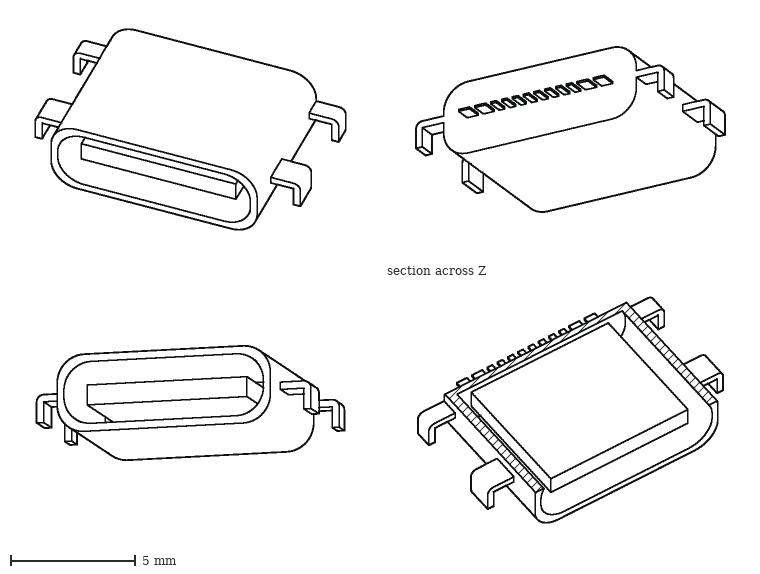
import cadquery as cq

shell_width = 8.9
shell_height = 3.16
shell_length = 6.49
shell_corner_radius = 1.13

cavity_width = 8.33
cavity_height = 2.53
cavity_corner_radius = 1.13
rear_wall = 0.3
cavity_depth = shell_length - rear_wall

tongue_width = 6.67
tongue_height = 0.81
tongue_recess = 0.5

tab_span = 11.46
tab_thickness = 0.3
tab_top = 0.31
tab_bottom = -0.84
tab_bend_radius = tab_thickness
front_tab_start = 1.5
front_tab_length = 1.2
rear_tab_length = 0.79
rear_tab_start = shell_length - rear_tab_length

pin_length = 0.71
pin_thickness = 0.08
pin_center_height = 0.02
narrow_pin_width = 0.25
narrow_pin_pitch = 0.5
narrow_pin_count = 8
wide_pin_width = 0.5
wide_pin_offsets = (2.36, 3.1)


def block_along_y(width, height, start, length):
    """Box centred on X and Z that runs back from Y = start."""
    return cq.Workplane("XY").box(width, length, height).translate((0, start + length / 2, 0))


def rounded_block(width, height, corner_radius, length):
    """Block from Y = 0 backwards with its four long edges rounded."""
    return block_along_y(width, height, 0, length).edges("|Y").fillet(corner_radius)


def make_shell():
    outside = rounded_block(shell_width, shell_height, shell_corner_radius, shell_length)
    cavity = rounded_block(cavity_width, cavity_height, cavity_corner_radius, cavity_depth)
    return outside.cut(cavity)


def make_tongue():
    return block_along_y(tongue_width, tongue_height, tongue_recess, shell_length - tongue_recess)


def make_tab(start, length):
    """Right-hand tab: an arm out from the shell side, bent down into a leg."""
    root = shell_width / 2
    tip = tab_span / 2
    arm_underside = tab_top - tab_thickness
    leg_inside = tip - tab_thickness
    profile = [
        (root, tab_top),
        (tip, tab_top),
        (tip, tab_bottom),
        (leg_inside, tab_bottom),
        (leg_inside, arm_underside),
        (root, arm_underside),
    ]
    tab = cq.Workplane("XZ").polyline(profile).close().extrude(-length)
    tab = tab.edges("|Y and >X and >Z").fillet(tab_bend_radius)
    return tab.translate((0, start, 0))


def make_pin(center_x, width):
    pin = block_along_y(width, pin_thickness, shell_length, pin_length)
    return pin.translate((center_x, 0, pin_center_height))


result = make_shell().union(make_tongue())

for start, length in ((front_tab_start, front_tab_length), (rear_tab_start, rear_tab_length)):
    right_tab = make_tab(start, length)
    result = result.union(right_tab).union(right_tab.mirror("YZ"))

for index in range(narrow_pin_count):
    center_x = (index - (narrow_pin_count - 1) / 2) * narrow_pin_pitch
    result = result.union(make_pin(center_x, narrow_pin_width))

for offset in wide_pin_offsets:
    for side in (-1, 1):
        result = result.union(make_pin(side * offset, wide_pin_width))